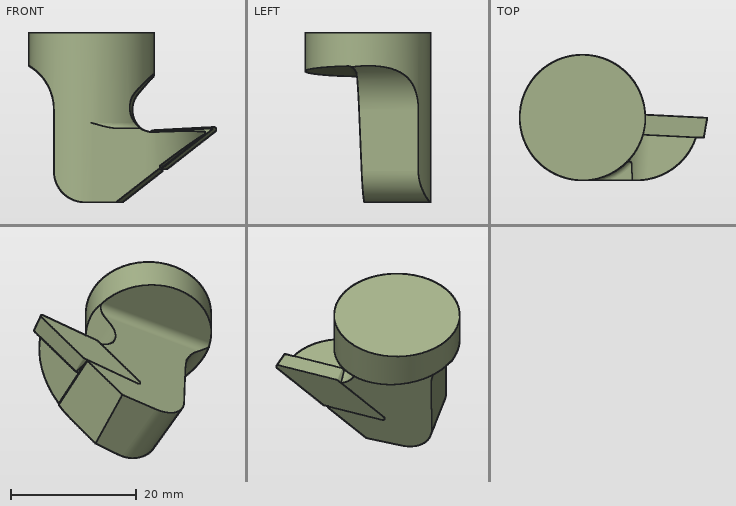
import cadquery as cq
import math

TOTAL_HEIGHT = 27.0
SHANK_RADIUS = 10.0
FOOT_HEIGHT = 11.77
FOOT_NOSE_X = 8.57
NECK_FILLET = 0.9

FLANK_X = -6.0
HEEL_RADIUS = 5.0
SHOULDER_START_Z = 14.82
SHOULDER_RADIUS = 8.0

TURN = 3.0
LEAN = 2.4
RAKE = 3.0
CUTTING_FACE_Y = 0.5

HEAD_UNDERSIDE_Z = 20.88
HEAD_UNDERSIDE_ANGLE = 5.0
HEAD_FILLET = 1.4

GULLET_X = 10.5
GULLET_Z = 14.75
GULLET_RADIUS = 4.0
GULLET_EXIT_ANGLE = 49.5

CLEARANCE_X = 11.35
CLEARANCE_Z = 5.0
CLEARANCE_ANGLE = 38.0
CLEARANCE_STEP = 0.4

INSERT_TIP_X = 20.75
INSERT_TIP_Z = 12.1
INSERT_SIDE = 11.08
INSERT_TIP_ANGLE = 35.0
INSERT_NOSE_RADIUS = 0.42
INSERT_THICKNESS = 3.2
INSERT_RELIEF_ANGLE = 7.0

REACH = 35.85


def step(point, length, angle):
    """Point reached from another by a distance and a direction in degrees."""
    turn = math.radians(angle)
    return (point[0] + length * math.cos(turn), point[1] + length * math.sin(turn))


def cutting_plane():
    """Plane of the insert's large face: local X outward, local Y up, normal into the foot."""
    turn = math.radians(TURN)
    lean = math.radians(LEAN)
    across = cq.Vector(math.cos(turn), -math.sin(turn), 0)
    inward = cq.Vector(
        -math.sin(turn) * math.cos(lean), -math.cos(turn) * math.cos(lean), math.sin(lean)
    )
    return cq.Plane(origin=(0, CUTTING_FACE_Y, 0), xDir=across, normal=inward)


def make_insert():
    """Rhombic insert whose sides taper from the large face."""
    tip = (INSERT_TIP_X, INSERT_TIP_Z)
    top_direction = 180 + RAKE
    lower_direction = top_direction + INSERT_TIP_ANGLE
    top_end = step(tip, INSERT_SIDE, top_direction)
    lower_end = step(tip, INSERT_SIDE, lower_direction)
    far_tip = step(top_end, INSERT_SIDE, lower_direction)
    rhombus = cq.Sketch().polygon([tip, top_end, far_tip, lower_end, tip])
    rhombus = rhombus.vertices().fillet(INSERT_NOSE_RADIUS)
    return (
        cq.Workplane(cutting_plane())
        .placeSketch(rhombus)
        .extrude(INSERT_THICKNESS, taper=INSERT_RELIEF_ANGLE)
    )


def foot_prism(height):
    """Foot outline with a round nose, from Z = 0 to a height."""
    block = cq.Workplane("XY").rect(FOOT_NOSE_X, 2 * SHANK_RADIUS).extrude(height)
    block = block.translate((FOOT_NOSE_X / 2, 0, 0))
    nose = cq.Workplane("XY").center(FOOT_NOSE_X, 0).circle(SHANK_RADIUS).extrude(height)
    return block.union(nose)


def neck_fillet():
    """Concave ring between the shank and the top of the foot, kept within the foot outline."""
    outer = SHANK_RADIUS + NECK_FILLET
    top = FOOT_HEIGHT + NECK_FILLET
    bend = NECK_FILLET * (1 - math.sqrt(0.5))
    ring = (
        cq.Workplane("XZ")
        .moveTo(SHANK_RADIUS - NECK_FILLET, FOOT_HEIGHT - NECK_FILLET)
        .lineTo(outer, FOOT_HEIGHT - NECK_FILLET)
        .lineTo(outer, FOOT_HEIGHT)
        .threePointArc((SHANK_RADIUS + bend, FOOT_HEIGHT + bend), (SHANK_RADIUS, top))
        .lineTo(SHANK_RADIUS - NECK_FILLET, top)
        .close()
        .revolve(360, (0, 0, 0), (0, 1, 0))
    )
    return ring.intersect(foot_prism(TOTAL_HEIGHT))


def left_flank_cutter():
    """Space left of the flat flank, with the rounded heel below and the shoulder above."""
    heel_centre = (FLANK_X + HEEL_RADIUS, HEEL_RADIUS)
    shoulder_centre = (FLANK_X - SHOULDER_RADIUS, SHOULDER_START_Z)
    shoulder_top = (shoulder_centre[0], SHOULDER_START_Z + SHOULDER_RADIUS)
    return (
        cq.Workplane("XZ")
        .moveTo(heel_centre[0], 0)
        .threePointArc(step(heel_centre, HEEL_RADIUS, 225), (FLANK_X, HEEL_RADIUS))
        .lineTo(FLANK_X, SHOULDER_START_Z)
        .threePointArc(step(shoulder_centre, SHOULDER_RADIUS, 45), shoulder_top)
        .lineTo(shoulder_top[0], 0)
        .close()
        .extrude(REACH, both=True)
    )


def back_cutter():
    """Space behind the cutting plane and under the sloping head, with a rounded inner edge."""
    behind = cq.Workplane(cutting_plane()).rect(2 * REACH, 2 * REACH).extrude(-REACH)
    drop = REACH * math.tan(math.radians(HEAD_UNDERSIDE_ANGLE))
    below_head = (
        cq.Workplane("XZ")
        .moveTo(-REACH, HEAD_UNDERSIDE_Z + drop)
        .lineTo(REACH, HEAD_UNDERSIDE_Z - drop)
        .lineTo(REACH, -REACH / 2)
        .lineTo(-REACH, -REACH / 2)
        .close()
        .extrude(REACH, both=True)
    )
    cutter = behind.intersect(below_head)
    inner_edge = cq.selectors.NearestToPointSelector((0, CUTTING_FACE_Y, HEAD_UNDERSIDE_Z))
    return cutter.edges(inner_edge).fillet(HEAD_FILLET)


def gullet_cutter():
    """Round gullet between the shank and the insert, opening outward along both sides."""
    centre = (GULLET_X, GULLET_Z)
    upper_tangent = step(centre, GULLET_RADIUS, 90 + GULLET_EXIT_ANGLE)
    floor_tangent = step(centre, GULLET_RADIUS, 270 + RAKE)
    return (
        cq.Workplane(cutting_plane())
        .moveTo(*step(upper_tangent, REACH / 2, GULLET_EXIT_ANGLE))
        .lineTo(*upper_tangent)
        .threePointArc(step(centre, GULLET_RADIUS, 200), floor_tangent)
        .lineTo(*step(floor_tangent, REACH / 2, RAKE))
        .close()
        .extrude(REACH, both=True)
    )


def clearance_cutter():
    """Space below the inclined lower face of the foot, stepped up beside the insert."""
    start = (CLEARANCE_X, CLEARANCE_Z)
    lower_end = step(start, REACH, 180 + CLEARANCE_ANGLE)
    step_top = step(start, CLEARANCE_STEP, 90)
    upper_end = step(step_top, REACH, CLEARANCE_ANGLE)
    return (
        cq.Workplane(cutting_plane())
        .polyline([lower_end, start, step_top, upper_end, (upper_end[0], lower_end[1])])
        .close()
        .extrude(REACH, both=True)
    )


def make_holder(insert):
    """Shank and foot, cut to shape and pocketed for the insert."""
    shank = cq.Workplane("XY").circle(SHANK_RADIUS).extrude(TOTAL_HEIGHT)
    holder = shank.union(foot_prism(FOOT_HEIGHT)).union(neck_fillet())
    holder = holder.cut(left_flank_cutter())
    holder = holder.cut(back_cutter())
    holder = holder.cut(gullet_cutter())
    holder = holder.cut(clearance_cutter())
    return holder.cut(insert).solids()


insert = make_insert()
holder = make_holder(insert)
result = cq.Compound.makeCompound([holder.val(), insert.val()])